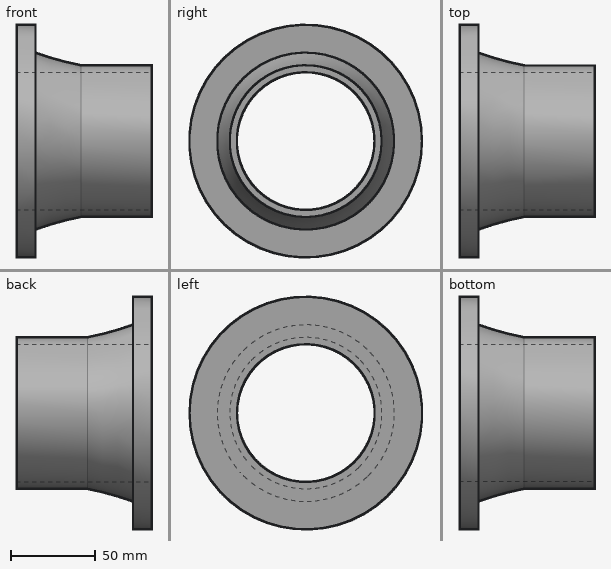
import cadquery as cq
import math

total_length = 80.0
flange_diameter = 138.0
flange_thickness = 11.2
hub_base_diameter = 104.9
hub_length = 27.0
flare_dip = 0.5
tube_diameter = 90.0
bore_diameter = 81.4

flange_radius = flange_diameter / 2
hub_base_radius = hub_base_diameter / 2
tube_radius = tube_diameter / 2
bore_radius = bore_diameter / 2
hub_end = flange_thickness + hub_length

hub_rise = hub_base_radius - tube_radius
hub_chord = math.hypot(hub_length, hub_rise)
flare_mid = (
    flange_thickness + hub_length / 2 - flare_dip * hub_rise / hub_chord,
    (hub_base_radius + tube_radius) / 2 - flare_dip * hub_length / hub_chord,
)

wall_section = (
    cq.Workplane("XY")
    .moveTo(0, bore_radius)
    .lineTo(0, flange_radius)
    .lineTo(flange_thickness, flange_radius)
    .lineTo(flange_thickness, hub_base_radius)
    .threePointArc(flare_mid, (hub_end, tube_radius))
    .lineTo(total_length, tube_radius)
    .lineTo(total_length, bore_radius)
    .close()
)

result = wall_section.revolve(360, (0, 0, 0), (1, 0, 0))